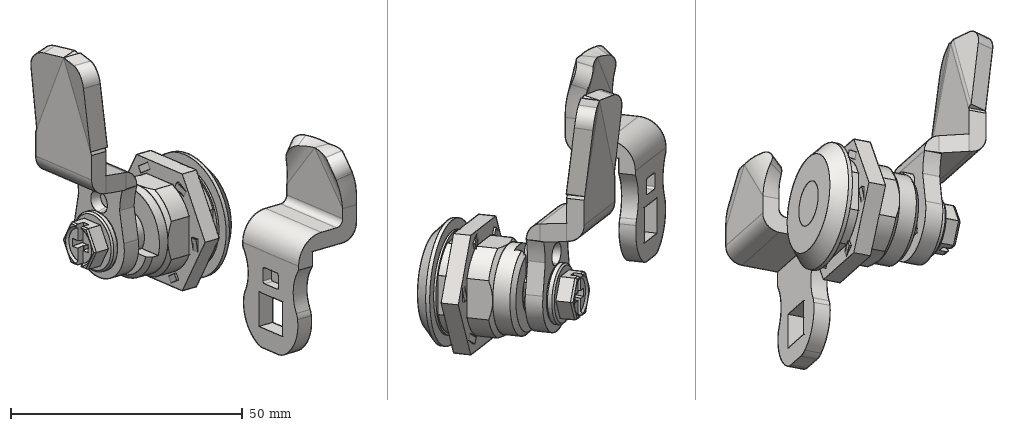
import cadquery as cq
import math


HEAD_RADIUS = 14.0
HEAD_FACE_RADIUS = 11.0
HEAD_RIM_DEPTH = 3.0
HEAD_DEPTH = 4.0
BARREL_RADIUS = 11.05
BARREL_ACROSS_FLATS = 20.25
BARREL_END = 17.05
BARREL_CHAMFER = 0.9
NOSE_RADIUS = 20.2 / 2
NOSE_END = 22.0
NOSE_CHAMFER = 1.0
NOTCH_FLOOR = 19.4
NOTCH_HALF_WIDTH = 2.8

GASKET_RADIUS = 11.6
GASKET_THICKNESS = 0.5

NUT_ACROSS_FLATS = 27.0
NUT_START = 7.2
NUT_END = 11.1
TOOTH_COUNT = 6
TOOTH_INNER = 11.5
TOOTH_RADIAL = 1.6
TOOTH_LENGTH = 2.95
TOOTH_HEIGHT = 0.5

SPINDLE_RADIUS = 5.0
SQUARE = 8.0

CAM_START = 24.0
CAM_THICKNESS = 4.05
CAM_END = CAM_START + CAM_THICKNESS
CORNER_RADIUS = 4.0
TIP_HALF_WIDTH = 9.5

LOBE_RADIUS = 8.6
WAIST_HALF_WIDTH = 7.0
WAIST_HEIGHT = 8.9
BEND_HEIGHT = 13.9
BEND_HALF_WIDTH = 7.9
BEND_TOP_HALF_WIDTH = 8.3
FLARE_BULGE = 0.3
SLOPE_ANGLE = 10.0
SLOPE_LENGTH = 6.7
TIP_TOP = 44.55
FOLD_FOOT = 24.7
FOLD_ANGLE = 16.0
WING_HALF_WIDTH = 9.2
STOP_LENGTH = 5.65
STOP_WIDTH = 4.8
STOP_HEIGHT_ABOVE_AXIS = 8.9
STOP_PROJECTION = 2.4
DIMPLE_DEPTH = 2.4
DIMPLE_TAPER = 12.0

SPARE_X = 58.5
SPARE_THICKNESS = 3.9
SPARE_LOBE_RADIUS = 9.3
SPARE_LOBE_BOTTOM = 8.6
SPARE_LOBE_BLEND = 4.2
SPARE_WAIST_HALF_WIDTH = 7.7
SPARE_WAIST_HEIGHT = 7.2
SPARE_SHOULDER = 12.9
SPARE_SHELF_TOP = 20.2
SPARE_TIP_START = 11.8
SPARE_OUTER_BEND = 6.3
SPARE_INNER_FILLET = 1.7
SPARE_TOP = 35.5
SPARE_FOLD_FOOT = 24.2
SPARE_CURL_RADIUS = 6.4
RIM_OVERRUN = 0.85
SPARE_POCKET_WIDTH = 5.2
SPARE_POCKET_HEIGHT = 3.7
SPARE_POCKET_Z = 8.3
SPARE_POCKET_CORNER = 0.5
SPARE_POCKET_DEPTH = 2.4

WASHER_RADIUS = 6.75
WASHER_END = 29.9
WASHER_CHAMFER = 0.4
BOLT_ACROSS_FLATS = 9.45
BOLT_END = 33.75
BOLT_EDGE_DEPTH = 0.5
BOLT_EDGE_WIDTH = 0.25
BOLT_DISH_RADIUS = 4.4
BOLT_DISH_DEPTH = 0.5
BOLT_DISH_TAPER = 45.0
SLOT_WIDTH = 1.8
SLOT_DEPTH = 2.1
CROSS_LENGTH = 5.2
CROSS_DEPTH = 2.9
CROSS_TAPER = 9.0


def at_depth(depth):
    """Sketch plane square to the lock axis; sketch axes are X and Z and it extrudes towards -Y."""
    return cq.Workplane("XZ", origin=(0, -depth, 0))


def disc(radius, start, end):
    return at_depth(start).circle(radius).extrude(end - start)


def hexagon(across_flats, start, end):
    return at_depth(start).polygon(6, across_flats / math.cos(math.pi / 6)).extrude(end - start)


def block(x_min, x_max, z_min, z_max, start, end):
    sketch = at_depth(start).center((x_min + x_max) / 2, (z_min + z_max) / 2)
    return sketch.rect(x_max - x_min, z_max - z_min).extrude(end - start)


def barrel_section(start, end):
    """Round barrel with four flats."""
    flats = at_depth(start).rect(BARREL_ACROSS_FLATS, BARREL_ACROSS_FLATS).extrude(end - start)
    return disc(BARREL_RADIUS, start, end).intersect(flats)


def make_housing():
    head = (
        cq.Workplane("XY")
        .polyline([(0, 0), (HEAD_FACE_RADIUS, 0), (HEAD_RADIUS, -HEAD_RIM_DEPTH),
                   (HEAD_RADIUS, -HEAD_DEPTH), (0, -HEAD_DEPTH)])
        .close()
        .revolve(360, (0, 0, 0), (0, 1, 0))
    )
    barrel = disc(BARREL_RADIUS, HEAD_DEPTH, BARREL_END).faces("<Y").chamfer(BARREL_CHAMFER)
    barrel = barrel.intersect(barrel_section(HEAD_DEPTH, BARREL_END))
    nose = disc(NOSE_RADIUS, BARREL_END, NOSE_END).faces("<Y").chamfer(NOSE_CHAMFER)
    notch = block(-NOTCH_HALF_WIDTH, NOSE_RADIUS, -NOTCH_HALF_WIDTH, NOSE_RADIUS, NOTCH_FLOOR, NOSE_END)
    return head.union(barrel).union(nose).cut(notch).cut(disc(SPINDLE_RADIUS, 0, NOSE_END))


def make_gasket():
    end = HEAD_DEPTH + GASKET_THICKNESS
    return disc(GASKET_RADIUS, HEAD_DEPTH, end).cut(barrel_section(HEAD_DEPTH, end))


def make_nut():
    """Hexagon nut with a ring of ratchet teeth on both faces."""
    nut = hexagon(NUT_ACROSS_FLATS, NUT_START, NUT_END)
    nut = nut.cut(barrel_section(NUT_START, NUT_END))
    front_tooth = (
        cq.Workplane("YZ", origin=(TOOTH_INNER, -NUT_END, 0))
        .polyline([(0, 0), (-TOOTH_HEIGHT, 0), (0, -TOOTH_LENGTH)])
        .close()
        .extrude(TOOTH_RADIAL)
    )
    middle = (0, -(NUT_START + NUT_END) / 2, 0)
    back_tooth = front_tooth.rotate(middle, (1, middle[1], 0), 180)
    for i in range(TOOTH_COUNT):
        for tooth in (front_tooth, back_tooth):
            nut = nut.union(tooth.rotate((0, 0, 0), (0, 1, 0), i * 360 / TOOTH_COUNT))
    return nut


def make_spindle():
    square = at_depth(NOSE_END).rect(SQUARE, SQUARE).extrude(CAM_END - NOSE_END)
    square = square.intersect(disc(SPINDLE_RADIUS, NOSE_END, CAM_END))
    return disc(SPINDLE_RADIUS, 0, NOSE_END).union(square)


def square_hole():
    return at_depth(CAM_START).rect(SQUARE, SQUARE).extrude(CAM_THICKNESS)


def make_cam_blade():
    """Flat blade of the mounted cam: round lobe, waist and flare up to the first bend."""
    reach = math.hypot(WAIST_HALF_WIDTH, WAIST_HEIGHT)
    tangent_angle = math.atan2(WAIST_HEIGHT, WAIST_HALF_WIDTH) - math.acos(LOBE_RADIUS / reach)
    side_x = LOBE_RADIUS * math.cos(tangent_angle)
    side_z = LOBE_RADIUS * math.sin(tangent_angle)
    mid_x = WAIST_HALF_WIDTH + FLARE_BULGE * (BEND_HALF_WIDTH - WAIST_HALF_WIDTH)
    mid_z = (WAIST_HEIGHT + BEND_HEIGHT) / 2
    return (
        at_depth(CAM_START)
        .moveTo(side_x, side_z)
        .lineTo(WAIST_HALF_WIDTH, WAIST_HEIGHT)
        .threePointArc((mid_x, mid_z), (BEND_HALF_WIDTH, BEND_HEIGHT))
        .lineTo(-BEND_HALF_WIDTH, BEND_HEIGHT)
        .threePointArc((-mid_x, mid_z), (-WAIST_HALF_WIDTH, WAIST_HEIGHT))
        .lineTo(-side_x, side_z)
        .threePointArc((0, -LOBE_RADIUS), (side_x, side_z))
        .close()
        .extrude(CAM_THICKNESS)
    )


def slope_end():
    """Depth and height of the inside corner of the second bend."""
    slope = math.radians(SLOPE_ANGLE)
    depth = CAM_END + SLOPE_LENGTH * math.cos(slope) - CAM_THICKNESS * math.sin(slope)
    height = BEND_HEIGHT + SLOPE_LENGTH * math.sin(slope) + CAM_THICKNESS * math.cos(slope)
    return depth, height


def make_cam_arm():
    """Two bends with a sloping web between them, widening towards the tip."""
    tip_depth, tip_height = slope_end()
    slope = math.radians(SLOPE_ANGLE)
    t = CAM_THICKNESS

    def first_bend(angle):
        return (-CAM_END + t * math.cos(angle), BEND_HEIGHT + t * math.sin(angle))

    def second_bend(angle):
        return (-tip_depth - t * math.cos(angle), tip_height - t * math.sin(angle))

    turn = math.pi / 2 - slope
    side = (
        cq.Workplane("YZ")
        .moveTo(-CAM_END, BEND_HEIGHT)
        .lineTo(*first_bend(0))
        .threePointArc(first_bend(turn / 2), first_bend(turn))
        .lineTo(-tip_depth, tip_height)
        .lineTo(*second_bend(0))
        .threePointArc(second_bend(turn / 2), second_bend(turn))
        .close()
        .extrude(TIP_HALF_WIDTH, both=True)
    )
    bend_top_depth = -first_bend(turn)[0]
    right_edge = [(BEND_HALF_WIDTH, -CAM_START), (BEND_TOP_HALF_WIDTH, -bend_top_depth),
                  (TIP_HALF_WIDTH, -tip_depth), (TIP_HALF_WIDTH, -tip_depth - t)]
    left_edge = [(-x, y) for x, y in reversed(right_edge)]
    plan = cq.Workplane("XY").polyline(right_edge + left_edge).close().extrude(TIP_TOP)
    return side.intersect(plan)


def tip_triangle(start, thickness, bottom, foot, top):
    """Flat middle of a cam tip, between its two fold lines."""
    w = TIP_HALF_WIDTH
    return (
        at_depth(start)
        .polyline([(-w, bottom), (w, bottom), (w, foot), (0, top), (-w, foot)])
        .close()
        .extrude(thickness)
    )


def make_cam_tip():
    """Upright tip with both upper corners folded towards -Y about slanting fold lines."""
    start, bottom = slope_end()
    front = start + CAM_THICKNESS
    apex = cq.Vector(0, -front, TIP_TOP)
    wing_foot = TIP_TOP - (TIP_TOP - FOLD_FOOT) * WING_HALF_WIDTH / TIP_HALF_WIDTH
    foot = cq.Vector(WING_HALF_WIDTH, -front, wing_foot)
    flat_wing = (
        at_depth(start)
        .moveTo(0, TIP_TOP)
        .lineTo(WING_HALF_WIDTH - CORNER_RADIUS, TIP_TOP)
        .radiusArc((WING_HALF_WIDTH, TIP_TOP - CORNER_RADIUS), CORNER_RADIUS)
        .lineTo(WING_HALF_WIDTH, wing_foot)
        .close()
        .extrude(CAM_THICKNESS)
    )
    wing = flat_wing.rotate(apex.toTuple(), foot.toTuple(), FOLD_ANGLE)
    fold_plane = cq.Plane(apex, foot - apex, (foot - apex).cross(cq.Vector(0, 1, 0)))
    fold_length = (foot - apex).Length
    fold = (
        cq.Workplane(fold_plane)
        .polyline([(0, 0), (fold_length, 0), (fold_length, CAM_THICKNESS), (0, CAM_THICKNESS)])
        .close()
        .revolve(FOLD_ANGLE, (0, 0, 0), (1, 0, 0))
    )
    right_side = wing.union(fold)
    tip = tip_triangle(start, CAM_THICKNESS, bottom, FOLD_FOOT, TIP_TOP)
    return tip.union(right_side).union(right_side.mirror("YZ"))


def make_cam():
    cam = make_cam_blade().union(make_cam_arm()).union(make_cam_tip())
    stop = at_depth(CAM_START - STOP_PROJECTION).center(0, STOP_HEIGHT_ABOVE_AXIS)
    stop = stop.slot2D(STOP_LENGTH, STOP_WIDTH).extrude(STOP_PROJECTION)
    dimple = at_depth(CAM_END).center(0, STOP_HEIGHT_ABOVE_AXIS)
    dimple = dimple.slot2D(STOP_LENGTH, STOP_WIDTH).extrude(-DIMPLE_DEPTH, taper=DIMPLE_TAPER)
    return cam.union(stop).cut(dimple).cut(square_hole())


def make_washer():
    return disc(WASHER_RADIUS, CAM_END, WASHER_END).faces("|Y").chamfer(WASHER_CHAMFER)


def make_bolt():
    """Hexagon head with a dished top, a through slot and a tapered cross recess."""
    head = hexagon(BOLT_ACROSS_FLATS, WASHER_END, BOLT_END)
    head = head.faces("<Y").chamfer(BOLT_EDGE_DEPTH, BOLT_EDGE_WIDTH)
    dish = at_depth(BOLT_END).circle(BOLT_DISH_RADIUS).extrude(-BOLT_DISH_DEPTH, taper=BOLT_DISH_TAPER)
    dish_floor = BOLT_END - BOLT_DISH_DEPTH
    slot = block(-SLOT_WIDTH / 2, SLOT_WIDTH / 2, -BOLT_ACROSS_FLATS, BOLT_ACROSS_FLATS,
                 BOLT_END - SLOT_DEPTH, BOLT_END)
    head = head.cut(dish).cut(slot)
    for size in ((CROSS_LENGTH, SLOT_WIDTH), (SLOT_WIDTH, CROSS_LENGTH)):
        head = head.cut(at_depth(dish_floor).rect(*size).extrude(-CROSS_DEPTH, taper=CROSS_TAPER))
    return head


def make_spare_blade():
    """Flat blade of the spare cam: flattened round lobe, waist and shoulders."""
    end = CAM_END
    start = CAM_END - SPARE_THICKNESS
    w = TIP_HALF_WIDTH
    height = SPARE_SHOULDER - SPARE_WAIST_HEIGHT
    bulge = w - SPARE_WAIST_HALF_WIDTH
    waist_radius = (height ** 2 + bulge ** 2) / (2 * bulge)
    bend_line = SPARE_SHELF_TOP - SPARE_OUTER_BEND
    centre_x = SPARE_WAIST_HALF_WIDTH + waist_radius
    reach = math.hypot(centre_x, SPARE_WAIST_HEIGHT)
    along = (reach ** 2 + SPARE_LOBE_RADIUS ** 2 - waist_radius ** 2) / (2 * reach)
    angle = math.atan2(SPARE_WAIST_HEIGHT, centre_x) - math.acos(min(1, along / SPARE_LOBE_RADIUS))
    join_x = SPARE_LOBE_RADIUS * math.cos(angle)
    join_z = SPARE_LOBE_RADIUS * math.sin(angle)
    waist = (SPARE_WAIST_HALF_WIDTH, SPARE_WAIST_HEIGHT)
    blade = (
        at_depth(start)
        .moveTo(join_x, join_z)
        .threePointArc(waist, (w, SPARE_SHOULDER))
        .lineTo(w, bend_line)
        .lineTo(-w, bend_line)
        .lineTo(-w, SPARE_SHOULDER)
        .threePointArc((-waist[0], waist[1]), (-join_x, join_z))
        .threePointArc((0, -SPARE_LOBE_RADIUS), (join_x, join_z))
        .close()
        .extrude(end - start)
    )
    blade = blade.cut(block(-w, w, -2 * w, -SPARE_LOBE_BOTTOM, start, end))
    lobe_corners = blade.edges("|Y").filter(lambda edge: edge.Center().z < SPARE_WAIST_HEIGHT)
    return blade.newObject(lobe_corners.vals()).fillet(SPARE_LOBE_BLEND)


def make_spare_arm():
    """Level shelf between a wide lower bend and a tight upper bend."""
    t = SPARE_THICKNESS
    r = SPARE_OUTER_BEND
    f = SPARE_INNER_FILLET
    bend_line = SPARE_SHELF_TOP - r
    tip_front = SPARE_TIP_START + t
    diagonal = math.sqrt(0.5)
    return (
        cq.Workplane("YZ")
        .moveTo(-CAM_END, bend_line)
        .threePointArc((-CAM_END + r * (1 - diagonal), bend_line + r * diagonal),
                       (-CAM_END + r, SPARE_SHELF_TOP))
        .lineTo(-tip_front - f, SPARE_SHELF_TOP)
        .threePointArc((-tip_front - f * (1 - diagonal), SPARE_SHELF_TOP + f * (1 - diagonal)),
                       (-tip_front, SPARE_SHELF_TOP + f))
        .lineTo(-SPARE_TIP_START, SPARE_SHELF_TOP + f)
        .lineTo(-SPARE_TIP_START, SPARE_SHELF_TOP)
        .threePointArc((-tip_front + t * diagonal, SPARE_SHELF_TOP - t * diagonal),
                       (-tip_front, SPARE_SHELF_TOP - t))
        .lineTo(-CAM_END + t, SPARE_SHELF_TOP - t)
        .lineTo(-CAM_END + t, bend_line)
        .close()
        .extrude(TIP_HALF_WIDTH, both=True)
    )


def make_curled_wing():
    """Right-hand upper corner of the spare tip, curled towards -Y about a slanting axis."""
    t = SPARE_THICKNESS
    w = TIP_HALF_WIDTH
    front = SPARE_TIP_START + t
    length = math.hypot(w, SPARE_TOP - SPARE_FOLD_FOOT)
    along = cq.Vector(w / length, 0, (SPARE_FOLD_FOOT - SPARE_TOP) / length)
    across = cq.Vector(-along.z, 0, along.x)
    apex = cq.Vector(0, 0, SPARE_TOP)
    axis_y = -front - SPARE_CURL_RADIUS
    neutral = SPARE_CURL_RADIUS + t / 2

    def curled(x, z, radius):
        """Point of the flat corner wrapped round the curl axis at a given radius."""
        offset = cq.Vector(x, 0, z) - apex
        angle = offset.dot(across) / neutral
        rolled = apex + along * offset.dot(along) + across * (radius * math.sin(angle))
        return rolled + cq.Vector(0, axis_y + radius * math.cos(angle), 0)

    def corner_point(degrees):
        angle = math.radians(degrees)
        return (w + CORNER_RADIUS * (math.cos(angle) - 1), SPARE_TOP + CORNER_RADIUS * (math.sin(angle) - 1))

    top_edge = [(w * i / 4, SPARE_TOP) for i in (-1, 0, 1)] + [corner_point(90)]
    corner = [corner_point(degrees) for degrees in (90, 60, 30, 0)]
    side_drop = (SPARE_TOP - CORNER_RADIUS - SPARE_FOLD_FOOT) / 2
    side_edge = [corner_point(0)] + [(w, SPARE_FOLD_FOOT + side_drop * i) for i in (1, 0, -1)]

    def rim_wall(flat_points):
        radii = (SPARE_CURL_RADIUS - RIM_OVERRUN, SPARE_CURL_RADIUS + t + RIM_OVERRUN)
        curves = [cq.Edge.makeSpline([curled(x, z, radius) for x, z in flat_points]) for radius in radii]
        return cq.Face.makeRuledSurface(*curves)

    rim_walls = [rim_wall(points) for points in (top_edge, corner, side_edge)]
    curl_plane = cq.Plane(apex + cq.Vector(0, axis_y, 0) - along * length, across, along)
    outer = SPARE_CURL_RADIUS + t
    shell = cq.Workplane(curl_plane).circle(outer).circle(SPARE_CURL_RADIUS).extrude(3 * length)
    quadrant = cq.Workplane(curl_plane).rect(outer, -outer, centered=False).extrude(3 * length)
    shell = shell.intersect(quadrant)
    middle = curled(w / 2, SPARE_TOP - w / 2, neutral)
    pieces = shell.val().split(*rim_walls).Solids()
    return cq.Workplane(obj=min(pieces, key=lambda piece: (piece.Center() - middle).Length))


def make_spare():
    spare = make_spare_blade().union(make_spare_arm())
    spare = spare.union(tip_triangle(SPARE_TIP_START, SPARE_THICKNESS,
                                     SPARE_SHELF_TOP + SPARE_INNER_FILLET, SPARE_FOLD_FOOT, SPARE_TOP))
    wing = make_curled_wing()
    spare = spare.union(wing).union(wing.mirror("YZ"))
    pocket = at_depth(CAM_END - SPARE_POCKET_DEPTH).center(0, SPARE_POCKET_Z)
    pocket = pocket.rect(SPARE_POCKET_WIDTH, SPARE_POCKET_HEIGHT).extrude(SPARE_POCKET_DEPTH)
    pocket = pocket.edges("|Y").fillet(SPARE_POCKET_CORNER)
    spare = spare.cut(pocket).cut(square_hole())
    return spare.translate((SPARE_X, 0, 0))


bodies = [make_housing(), make_gasket(), make_nut(), make_spindle(),
          make_cam(), make_washer(), make_bolt(), make_spare()]
result = cq.Compound.makeCompound([body.val() for body in bodies])